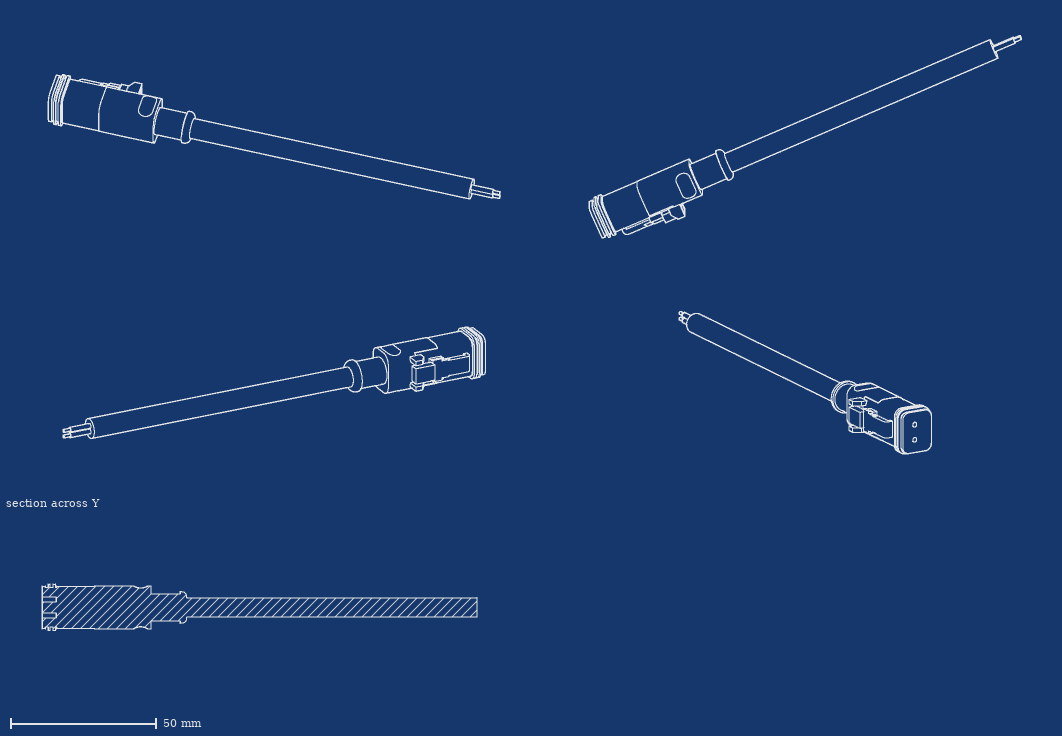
import cadquery as cq

total_length = 160.0
front_shell_start = 5.0
rear_shell_start = 18.0
shell_end = 37.6
collar_start = 47.5
collar_end = 49.9
jacket_end = 149.9
insulation_end = 157.5

shell_width = 11.5
shell_height = 14.7
shell_corner = 3.4
plate_corner = 2.4
rear_shell_offset = 0.1
seal_offset = 0.6
core_offset = -0.5
plate_thickness = 1.1
seal_spans = [(2.0, 2.7), (3.7, 4.6)]

hole_radius = 0.8
hole_depth = 4.8
hole_y = 1.0
hole_z = 2.7

scallop_x = 33.9
scallop_radius = 4.6
scallop_depth = 0.6

neck_radius = 4.8
collar_radius = 5.6
collar_round = 1.8
jacket_radius = 3.5
wire_spacing = 2.0
insulation_radius = 0.88
conductor_radius = 0.56

shell_side = shell_width / 2
latch_embed = 0.8
latch_root = shell_side - latch_embed
latch_top = 10.0
arm_top = 8.6
arm_underside = 6.7
wide_underside = 7.7
head_underside = 7.2
arm_start = 7.0
arm_leg = 1.5
arm_nose_radius = 1.6
shoulder_start = 14.7
pivot_start = 17.3
head_start = 21.8
post_start = 24.8
post_slope_run = 1.8
latch_end = 29.1
arm_half_width = 2.9
shoulder_half_width = 3.2
pivot_half_width = 3.7
wide_half_width = 4.0
post_half_width = 5.6

relief_y = 4.8
relief_end = 26.9


def rounded_bar(start, end, corner, offset=0.0):
    """Housing section grown by an offset, between two X positions."""
    width = shell_width + 2 * offset
    height = shell_height + 2 * offset
    bar = cq.Workplane("YZ", origin=(start, 0, 0)).rect(width, height).extrude(end - start)
    return bar.edges("|X").fillet(corner + offset)


def rod(start, end, radius, z=0.0):
    """Round bar along X."""
    return cq.Workplane("YZ", origin=(start, 0, z)).circle(radius).extrude(end - start)


def latch_slab(points, half_width):
    """Latch profile in the XY plane, extruded equally to both sides along Z."""
    return cq.Workplane("XY").polyline(points).close().extrude(half_width, both=True)


def arm_ramp(start, half_width):
    """Upper layer of the arm from a sloped front back to the thumb pad."""
    points = [
        (start, wide_underside),
        (start + arm_top - wide_underside, arm_top),
        (head_start, arm_top),
        (head_start, wide_underside),
    ]
    return latch_slab(points, half_width)


def latch_block(x_start, x_end, y_low, y_high, half_width):
    """Rectangular latch piece centred on the XY plane."""
    points = [(x_start, y_low), (x_start, y_high), (x_end, y_high), (x_end, y_low)]
    return latch_slab(points, half_width)


def make_housing():
    housing = rounded_bar(0, plate_thickness, plate_corner)
    housing = housing.union(rounded_bar(0, front_shell_start, plate_corner, core_offset))
    for start, end in seal_spans:
        housing = housing.union(rounded_bar(start, end, plate_corner, seal_offset))
    rear_shell = rounded_bar(rear_shell_start, shell_end, shell_corner, rear_shell_offset)
    relief_length = relief_end - rear_shell_start
    relief = cq.Workplane("XY", origin=(rear_shell_start, relief_y, 0))
    relief = relief.box(relief_length, shell_width, 2 * shell_height, centered=(False, False, True))
    rear_shell = rear_shell.cut(relief)
    housing = housing.union(rear_shell).union(rounded_bar(front_shell_start, shell_end, shell_corner))

    for side in (-1, 1):
        scallop_z = side * (shell_height / 2 - scallop_depth + scallop_radius)
        scallop = (
            cq.Workplane("XZ", origin=(scallop_x, 0, scallop_z))
            .circle(scallop_radius)
            .extrude(shell_width, both=True)
        )
        housing = housing.cut(scallop)
        hole = rod(0, hole_depth, hole_radius, side * hole_z).translate((0, hole_y, 0))
        housing = housing.cut(hole)
    return housing


def make_latch():
    arm = latch_block(arm_start, head_start, latch_root, arm_top, arm_half_width)
    arm = arm.edges("<X and >Y").fillet(arm_nose_radius)
    under_arm = latch_block(arm_start + arm_leg, head_start, latch_root, arm_underside, arm_half_width)
    arm = arm.cut(under_arm)

    latch = arm.union(arm_ramp(shoulder_start, shoulder_half_width))
    latch = latch.union(arm_ramp(pivot_start, wide_half_width))
    latch = latch.union(latch_block(pivot_start, head_start, latch_root, wide_underside, pivot_half_width))

    latch = latch.union(latch_block(head_start, latch_end, head_underside, latch_top, arm_half_width))

    post_points = [
        (post_start, latch_root),
        (post_start, wide_underside),
        (post_start + post_slope_run, latch_top),
        (latch_end, latch_top),
        (latch_end, latch_root),
    ]
    posts = latch_slab(post_points, post_half_width).cut(latch_slab(post_points, wide_half_width))
    return latch.union(posts)


def make_cable():
    collar = rod(collar_start, collar_end, collar_radius).faces(">X").edges().fillet(collar_round)
    neck = rod(shell_end, collar_start, neck_radius)
    jacket = rod(shell_end, jacket_end, jacket_radius)
    cable = neck.union(collar).union(jacket)
    for side in (-1, 1):
        z = side * wire_spacing / 2
        cable = cable.union(rod(jacket_end, insulation_end, insulation_radius, z))
        cable = cable.union(rod(insulation_end, total_length, conductor_radius, z))
    return cable


result = make_housing().union(make_latch()).union(make_cable())